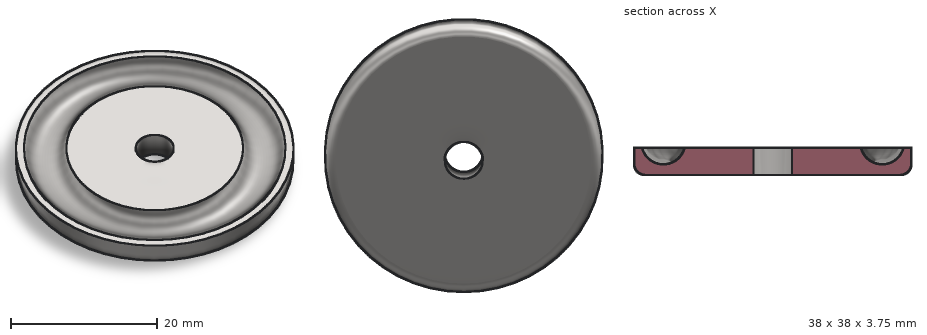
import cadquery as cq

disc_diameter = 38.0
disc_height = 3.75
bottom_edge_radius = 1.52
bore_diameter = 5.2

groove_outer_diameter = 35.8
groove_inner_diameter = 24.15
groove_depth = 2.28


def make_disc():
    """Plain disc with a rounded lower rim."""
    disc = cq.Workplane("XY").circle(disc_diameter / 2).extrude(disc_height)
    return disc.faces("<Z").edges().fillet(bottom_edge_radius)


def make_groove():
    """Revolved arc segment that hollows the top face."""
    inner_radius = groove_inner_diameter / 2
    outer_radius = groove_outer_diameter / 2
    middle_radius = (inner_radius + outer_radius) / 2
    return (
        cq.Workplane("XZ")
        .moveTo(inner_radius, disc_height)
        .threePointArc(
            (middle_radius, disc_height - groove_depth),
            (outer_radius, disc_height),
        )
        .close()
        .revolve(360, (0, 0, 0), (0, 1, 0))
    )


def make_bore():
    """Central through hole."""
    return cq.Workplane("XY").circle(bore_diameter / 2).extrude(disc_height)


result = make_disc().cut(make_groove()).cut(make_bore())